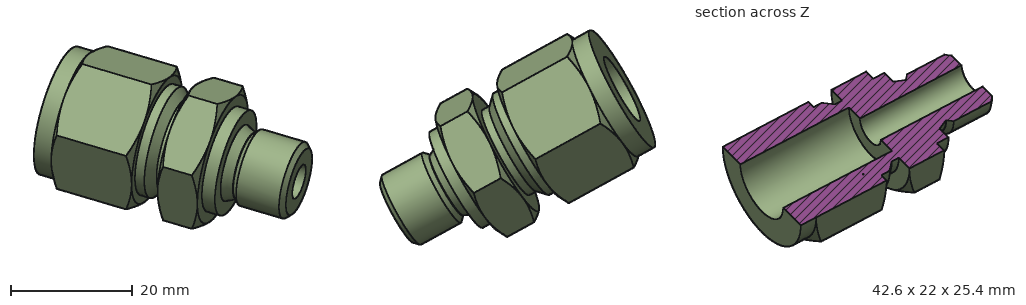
import cadquery as cq
import math

total_length = 42.6

hex_sides = 6
across_flats = 22.0
across_corners = across_flats / math.cos(math.pi / hex_sides)
flat_radius = across_flats / 2
corner_radius = across_corners / 2
chamfer_angle = 30
chamfer_length = (corner_radius - flat_radius) * math.tan(math.radians(chamfer_angle))

nut_collar_length = 3.1
nut_hex_length = 14.25
shoulder_length = 1.65
neck_length = 1.4
body_hex_length = 7.07
flange_length = 2.3
thread_length = 8.48
root_land_length = 0.1

shoulder_diameter = 19.1
neck_diameter = 16.0
flange_diameter = 18.05
relief_diameter = 13.1
thread_diameter = 13.15
thread_root_diameter = 11.4

tube_bore_diameter = 12.0
through_bore_diameter = 5.85

shoulder_taper = (shoulder_diameter - neck_diameter) / 2
thread_chamfer = (thread_diameter - thread_root_diameter) / 2

nut_hex_start = nut_collar_length
nut_hex_end = nut_hex_start + nut_hex_length
shoulder_end = nut_hex_end + shoulder_length
neck_start = shoulder_end + shoulder_taper
body_hex_start = neck_start + neck_length
body_hex_end = body_hex_start + body_hex_length
flange_end = body_hex_end + flange_length
thread_start = total_length - thread_length
root_land_end = thread_start - thread_chamfer
root_land_start = root_land_end - root_land_length

tube_bore_depth = body_hex_start


def revolve_about_x(points):
    """Solid of revolution about X from a closed outline of (x, radius) points."""
    return cq.Workplane("XY").polyline(points).close().revolve(360, (0, 0), (1, 0))


def chamfered_hexagon(start, end):
    """Hexagonal prism along X, corners up and down, with both ends chamfered by cones."""
    prism = (
        cq.Workplane("YZ", origin=(start, 0, 0))
        .transformed(rotate=(0, 0, 90))
        .polygon(hex_sides, across_corners)
        .extrude(end - start)
    )
    envelope = revolve_about_x([
        (start, 0),
        (start, flat_radius),
        (start + chamfer_length, corner_radius),
        (end - chamfer_length, corner_radius),
        (end, flat_radius),
        (end, 0),
    ])
    return prism.intersect(envelope)


def bore(diameter, depth):
    """Round cutter running along X from the tube end."""
    return cq.Workplane("YZ").circle(diameter / 2).extrude(depth)


core = revolve_about_x([
    (0, 0),
    (0, flat_radius),
    (nut_hex_start, flat_radius),
    (nut_hex_start, shoulder_diameter / 2),
    (shoulder_end, shoulder_diameter / 2),
    (neck_start, neck_diameter / 2),
    (body_hex_start, neck_diameter / 2),
    (body_hex_start, flange_diameter / 2),
    (flange_end, flange_diameter / 2),
    (flange_end, relief_diameter / 2),
    (root_land_start, thread_root_diameter / 2),
    (root_land_end, thread_root_diameter / 2),
    (thread_start, thread_diameter / 2),
    (total_length - thread_chamfer, thread_diameter / 2),
    (total_length, thread_root_diameter / 2),
    (total_length, 0),
])

nut_hexagon = chamfered_hexagon(nut_hex_start, nut_hex_end)
body_hexagon = chamfered_hexagon(body_hex_start, body_hex_end)

result = (
    core
    .union(nut_hexagon)
    .union(body_hexagon)
    .cut(bore(tube_bore_diameter, tube_bore_depth))
    .cut(bore(through_bore_diameter, total_length))
)